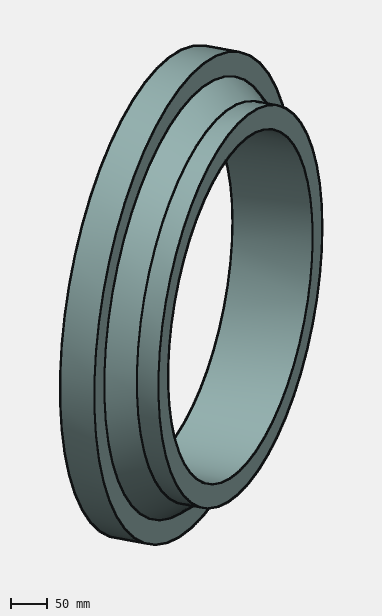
import cadquery as cq

outer_diameter = 685.0
hub_base_diameter = 616.5
neck_diameter = 560.0
bore_diameter = 493.0

total_length = 120.0
flange_thickness = 51.5
neck_length = 32.0
neck_start = total_length - neck_length

half_section = (
    cq.Workplane("XY")
    .moveTo(0, bore_diameter / 2)
    .lineTo(0, outer_diameter / 2)
    .lineTo(flange_thickness, outer_diameter / 2)
    .lineTo(flange_thickness, hub_base_diameter / 2)
    .lineTo(neck_start, neck_diameter / 2)
    .lineTo(total_length, neck_diameter / 2)
    .lineTo(total_length, bore_diameter / 2)
    .close()
)

ring = half_section.revolve(360, (0, 0, 0), (1, 0, 0))

result = ring.translate((-total_length / 2, 0, 0))